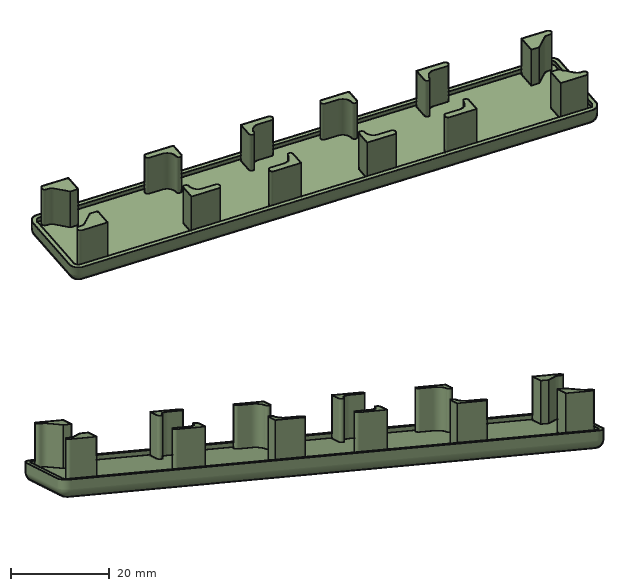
import cadquery as cq
import math

WIDTH = 20.0
LENGTH = 120.0
HEIGHT = 12.0
TRAY_HEIGHT = 4.0
EDGE_RADIUS = 1.9
CORNER_RADIUS = 2.0
RIM_THICKNESS = 1.0
FLOOR_THICKNESS = 3.0

POST_SIDE_INSET = 1.5
POST_END_INSET = 1.9
STEM_THICKNESS = 1.5

CORNER_POST_LENGTH = 6.5
CORNER_POST_WIDTH = 4.3
CORNER_POST_FLAT = 1.8
CORNER_POST_BLEND = 1.5

HOOK_LENGTH = 6.8
HOOK_FOOT_THICKNESS = 1.2
HOOK_BLEND = 2.0
HOOK_TIP_RADIUS = 0.6

PAIR_CENTRE = LENGTH / 6
LEFT_FOOT_OFFSET = 7.7
RIGHT_FOOT_OFFSET = 12.5


def make_tray():
    body = (
        cq.Workplane("XY")
        .box(WIDTH, LENGTH, TRAY_HEIGHT, centered=(True, True, False))
        .edges("|Z").fillet(CORNER_RADIUS)
        .faces("<Z").edges().fillet(EDGE_RADIUS)
    )
    recess = (
        cq.Workplane("XY", origin=(0, 0, FLOOR_THICKNESS))
        .rect(WIDTH - 2 * RIM_THICKNESS, LENGTH - 2 * RIM_THICKNESS)
        .extrude(TRAY_HEIGHT)
        .edges("|Z").fillet(CORNER_RADIUS - RIM_THICKNESS)
    )
    return body.cut(recess)


def start_post():
    return cq.Workplane("XY", origin=(0, 0, FLOOR_THICKNESS)).moveTo(0, 0)


def extrude_post(outline):
    return outline.close().extrude(HEIGHT - FLOOR_THICKNESS)


def make_corner_post():
    diagonal = math.sqrt(0.5)
    flank_sum = CORNER_POST_WIDTH + CORNER_POST_FLAT
    blend_reach = CORNER_POST_BLEND * math.tan(math.pi / 8)
    centre_x = STEM_THICKNESS + CORNER_POST_BLEND
    blend_top = flank_sum - STEM_THICKNESS + blend_reach
    flank_end_x = centre_x - CORNER_POST_BLEND * diagonal
    blend_middle = (
        centre_x - CORNER_POST_BLEND * math.cos(math.pi / 8),
        blend_top - CORNER_POST_BLEND * math.sin(math.pi / 8),
    )
    tip_radius = STEM_THICKNESS / 2
    tip_shoulder = CORNER_POST_LENGTH - tip_radius
    outline = (
        start_post()
        .lineTo(CORNER_POST_WIDTH, 0)
        .lineTo(CORNER_POST_WIDTH, CORNER_POST_FLAT)
        .lineTo(flank_end_x, flank_sum - flank_end_x)
        .threePointArc(blend_middle, (STEM_THICKNESS, blend_top))
        .lineTo(STEM_THICKNESS, tip_shoulder)
        .threePointArc((tip_radius, CORNER_POST_LENGTH), (0, tip_shoulder))
    )
    return extrude_post(outline)


def make_hook():
    foot_radius = HOOK_FOOT_THICKNESS / 2
    centre_x = STEM_THICKNESS + HOOK_BLEND
    centre_y = HOOK_FOOT_THICKNESS + HOOK_BLEND
    diagonal_step = HOOK_BLEND * math.sqrt(0.5)
    outline = (
        start_post()
        .lineTo(centre_x, 0)
        .threePointArc((centre_x + foot_radius, foot_radius), (centre_x, HOOK_FOOT_THICKNESS))
        .threePointArc(
            (centre_x - diagonal_step, centre_y - diagonal_step),
            (STEM_THICKNESS, centre_y),
        )
        .lineTo(STEM_THICKNESS, HOOK_LENGTH)
        .lineTo(0, HOOK_LENGTH)
    )
    stem_tip = cq.selectors.BoxSelector(
        (-STEM_THICKNESS, HOOK_LENGTH - HOOK_TIP_RADIUS, 0),
        (2 * STEM_THICKNESS, HOOK_LENGTH + HOOK_TIP_RADIUS, HEIGHT),
    )
    return extrude_post(outline).edges("|Z").edges(stem_tip).fillet(HOOK_TIP_RADIUS)


def place(post, side, foot_y, stem_direction):
    """Stand a post at one long side (-1 left, +1 right), stem along +Y or -Y."""
    if side > 0:
        post = post.mirror("YZ")
    if stem_direction < 0:
        post = post.mirror("XZ")
    return post.translate((side * (WIDTH / 2 - POST_SIDE_INSET), foot_y, 0))


result = make_tray()
corner_post = make_corner_post()
hook = make_hook()
corner_foot = LENGTH / 2 - POST_END_INSET - CORNER_POST_LENGTH

for end in (-1, 1):
    for side in (-1, 1):
        result = result.union(place(corner_post, side, end * corner_foot, end))
    for turn in (-1, 1):
        left_foot = end * PAIR_CENTRE + turn * LEFT_FOOT_OFFSET
        right_foot = end * PAIR_CENTRE + turn * RIGHT_FOOT_OFFSET
        result = result.union(place(hook, -1, left_foot, turn))
        result = result.union(place(hook, 1, right_foot, -turn))